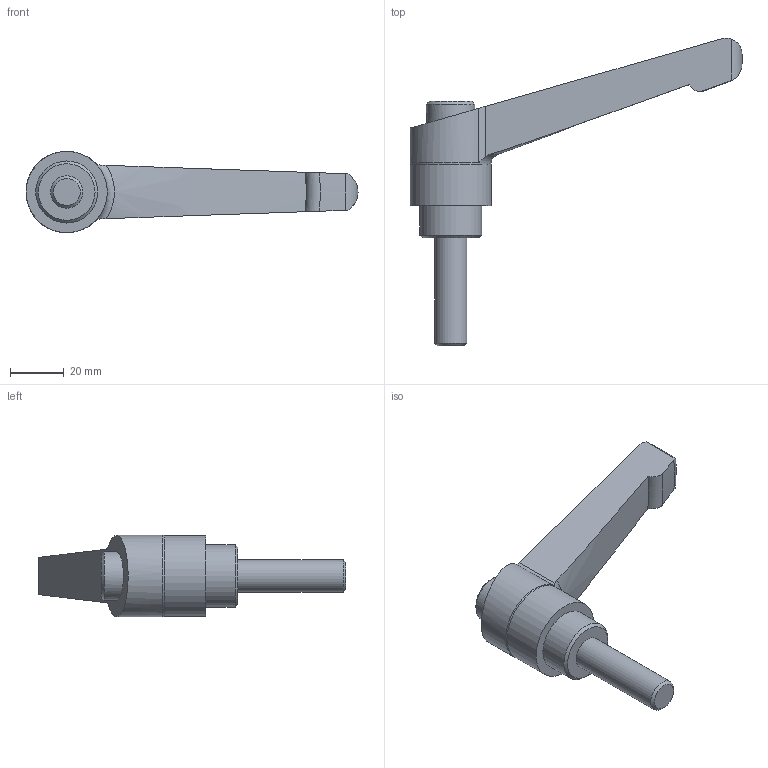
import cadquery as cq
import math


hub_radius = 15.1
collar_radius = 15.05
bushing_radius = 23.0 / 2
bushing_length = 12.0
stud_radius = 12.0 / 2
stud_length = 40.0
cap_radius = 18.0 / 2
cap_top = 38.6
edge_chamfer = 1.0

arm_reach = 108.0
tip_radius = 8.0
arm_half_width_at_axis = 10.4
side_taper = math.radians(2)
root_fillet = 4.0

top_slope = math.radians(16)
top_at_axis = 33.03
underside_slope = math.radians(20)
underside_at_axis = 12.6
underside_fillet = 4.0
lip_depth = 4.0
lip_radius = 4.1
lip_tangent_reach = 94.0
upper_corner_radius = 6.0
lower_corner_radius = 7.0

blank_height = top_at_axis + arm_reach * math.tan(top_slope)


def side_half_width(x):
    """Half width of the tapered arm at distance x from the screw axis."""
    return arm_half_width_at_axis - x * math.tan(side_taper)


def top_height(x):
    """Height of the sloping top at x."""
    return top_at_axis + x * math.tan(top_slope)


def underside_height(r):
    """Height of the conical underside at radius r from the screw axis."""
    return underside_at_axis + r * math.tan(underside_slope)


def point_on_circle(center, radius, angle):
    """Point at the given angle on a circle."""
    return (center[0] + radius * math.cos(angle), center[1] + radius * math.sin(angle))


def mirrored(point):
    """Plan point reflected across the arm's midline."""
    return (point[0], -point[1])


def make_plan_blank():
    """Hub disc and tapered arm as one outline, extruded along the screw axis."""
    side_offset = arm_half_width_at_axis * math.cos(side_taper) + root_fillet
    center_distance = hub_radius + root_fillet
    foot_angle = math.asin(side_offset / center_distance)
    fillet_angle = foot_angle - side_taper
    fillet_center = (center_distance * math.cos(fillet_angle), center_distance * math.sin(fillet_angle))

    hub_tangent = point_on_circle((0, 0), hub_radius, fillet_angle)
    side_angle = -math.pi / 2 - side_taper
    side_tangent = point_on_circle(fillet_center, root_fillet, side_angle)
    middle_angle = (fillet_angle - math.pi + side_angle) / 2
    fillet_middle = point_on_circle(fillet_center, root_fillet, middle_angle)

    tip_center = arm_reach - tip_radius
    crossing_angle = math.acos(side_half_width(tip_center) * math.cos(side_taper) / tip_radius)
    tip_corner_angle = math.pi / 2 - side_taper - crossing_angle
    tip_corner = point_on_circle((tip_center, 0), tip_radius, tip_corner_angle)

    return (
        cq.Workplane("XZ")
        .moveTo(*hub_tangent)
        .threePointArc(fillet_middle, side_tangent)
        .lineTo(*tip_corner)
        .threePointArc((arm_reach, 0), mirrored(tip_corner))
        .lineTo(*mirrored(side_tangent))
        .threePointArc(mirrored(fillet_middle), mirrored(hub_tangent))
        .threePointArc((-hub_radius, 0), hub_tangent)
        .close()
        .extrude(-blank_height)
    )


def make_top_envelope():
    """Everything below the sloping top, which rounds down into the tip."""
    corner_reach = arm_reach - upper_corner_radius
    center = (corner_reach, top_height(corner_reach) - upper_corner_radius / math.cos(top_slope))
    tangent_angle = math.pi / 2 + top_slope
    corner_start = point_on_circle(center, upper_corner_radius, tangent_angle)
    corner_middle = point_on_circle(center, upper_corner_radius, tangent_angle / 2)
    return (
        cq.Workplane("XY")
        .moveTo(-hub_radius, 0)
        .lineTo(-hub_radius, top_height(-hub_radius))
        .lineTo(*corner_start)
        .threePointArc(corner_middle, (arm_reach, center[1]))
        .lineTo(arm_reach, 0)
        .close()
        .extrude(hub_radius, both=True)
    )


def make_underside_envelope():
    """Solid of revolution bounded below by the collar, the conical underside and the finger lip."""
    normal_angle = underside_slope - math.pi / 2
    fillet_r = collar_radius + underside_fillet
    fillet_center = (fillet_r, underside_height(fillet_r) - underside_fillet / math.cos(underside_slope))
    cone_start = point_on_circle(fillet_center, underside_fillet, normal_angle + math.pi)
    fillet_middle_angle = math.pi + normal_angle / 2
    fillet_middle = point_on_circle(fillet_center, underside_fillet, fillet_middle_angle)

    def lip_height(r):
        return underside_height(r) - lip_depth / math.cos(underside_slope)

    lip_tangent = (lip_tangent_reach, lip_height(lip_tangent_reach))
    lip_center = point_on_circle(lip_tangent, lip_radius, normal_angle + math.pi)
    lip_sweep = math.acos((lip_radius - lip_depth) / lip_radius)
    lip_start = point_on_circle(lip_center, lip_radius, normal_angle - lip_sweep)
    lip_middle = point_on_circle(lip_center, lip_radius, normal_angle - lip_sweep / 2)

    corner_reach = arm_reach - lower_corner_radius
    corner_center = (corner_reach, lip_height(corner_reach) + lower_corner_radius / math.cos(underside_slope))
    corner_start = point_on_circle(corner_center, lower_corner_radius, normal_angle)
    corner_middle = point_on_circle(corner_center, lower_corner_radius, normal_angle / 2)

    return (
        cq.Workplane("XY")
        .moveTo(0, 0)
        .lineTo(collar_radius, 0)
        .lineTo(collar_radius, fillet_center[1])
        .threePointArc(fillet_middle, cone_start)
        .lineTo(*lip_start)
        .threePointArc(lip_middle, lip_tangent)
        .lineTo(*corner_start)
        .threePointArc(corner_middle, (arm_reach, corner_center[1]))
        .lineTo(arm_reach, blank_height)
        .lineTo(0, blank_height)
        .close()
        .revolve(360, (0, 0, 0), (0, 1, 0))
    )


def make_pin(radius, start, end):
    """Cylinder on the screw axis from start to end, chamfered at its end face."""
    direction = math.copysign(1, end - start)
    plane = cq.Plane(origin=(0, start, 0), xDir=(1, 0, 0), normal=(0, direction, 0))
    pin = cq.Workplane(plane).circle(radius).extrude(abs(end - start))
    return pin.faces(cq.selectors.DirectionMinMaxSelector(plane.zDir)).chamfer(edge_chamfer)


lever = make_plan_blank().intersect(make_top_envelope()).intersect(make_underside_envelope())
cap = make_pin(cap_radius, 0, cap_top)
bushing = make_pin(bushing_radius, 0, -bushing_length)
stud = make_pin(stud_radius, -bushing_length, -bushing_length - stud_length)

result = lever.union(cap).union(bushing).union(stud)